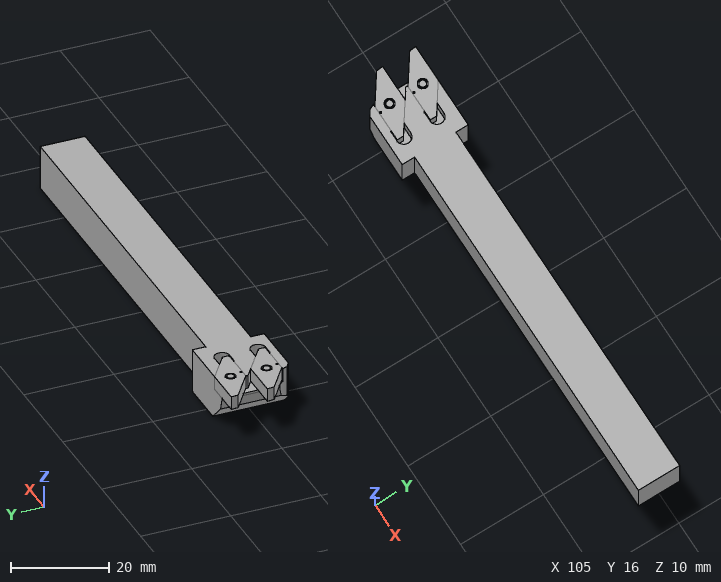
import cadquery as cq
import math

overall_length = 105.0
height = 10.0
head_length = 20.0
head_width = 16.0
shank_width = 10.0
shank_start_y = (head_width - shank_width) / 2

blade_thickness = 3.0
blade_width = 6.0
blade_pitch = 8.0
blade_angle = 35.0
tip_angle = 5.0
blade_slope = math.tan(math.radians(blade_angle))
blade_tip_width = 1.6
blade_back_x = 14.95
blade_back_width = 1.5
tip_setback = blade_tip_width * math.tan(math.radians(tip_angle))
blade_edge_ys = [head_width, head_width - blade_pitch]
blade_corner_x = tip_setback + (blade_width - blade_tip_width) / blade_slope
blade_shoulder_x = blade_back_x - (blade_width - blade_back_width) / blade_slope
seat_z = height - blade_thickness

nose_x = 4.8
nose_land = 0.5
nose_relief_x = 5.5
chamfer = 4.0
nose_bottom_x = nose_relief_x + chamfer

web_front_x = 6.3
corner_length = 1.35
corner_width = corner_length * blade_slope

slot_radius = 1.65
slot_end_x = 15.1
slot_start_x = 12.7
slot_offset = 4.5

screw_x = 7.5
screw_offset = 3.1
ring_outer_radius = 1.1
ring_inner_radius = 0.8
ring_depth = 0.5
dimple_x = 8.15
dimple_offset = 5.65
dimple_radius = 0.2
dimple_depth = 0.3


def make_shank():
    return cq.Workplane("XY").box(
        overall_length - head_length, shank_width, height, centered=False
    ).translate((head_length, shank_start_y, 0))


def make_head():
    """Head block with its sloped nose, hollowed under the lower blade's slanted side."""
    side = (
        cq.Workplane("XZ")
        .moveTo(nose_bottom_x, 0)
        .lineTo(nose_relief_x, chamfer)
        .lineTo(nose_x, seat_z - nose_land)
        .lineTo(nose_x, height)
        .lineTo(head_length, height)
        .lineTo(head_length, 0)
        .close()
        .extrude(-head_width)
    )
    lower_edge_y = blade_edge_ys[-1]
    flank_y = lower_edge_y - blade_width
    plan = (
        cq.Workplane("XY")
        .moveTo(0, head_width)
        .lineTo(0, lower_edge_y - blade_tip_width)
        .lineTo(nose_x, flank_y + (blade_corner_x - nose_x) * blade_slope)
        .tangentArcPoint((web_front_x, corner_width), relative=False)
        .lineTo(web_front_x + corner_length, 0)
        .lineTo(head_length, 0)
        .lineTo(head_length, head_width)
        .close()
        .extrude(height)
    )
    return side.intersect(plan)


def make_seat(edge_y):
    """Open pocket for one blade, reaching past the blade on the nose side."""
    flank_y = edge_y - blade_width
    open_y = edge_y + blade_shoulder_x * blade_slope
    return (
        cq.Workplane("XY", origin=(0, 0, seat_z))
        .moveTo(0, flank_y)
        .lineTo(blade_back_x, flank_y)
        .lineTo(blade_back_x, flank_y + blade_back_width)
        .lineTo(0, open_y)
        .close()
        .extrude(blade_thickness)
    )


def make_web_trim():
    """Clearance that blunts the sharp front end of the web between the blades."""
    return cq.Workplane("XY").box(
        web_front_x, blade_pitch, blade_thickness, centered=False
    ).translate((0, blade_edge_ys[-1], seat_z))


def make_slot(edge_y):
    center_y = edge_y - slot_offset
    bar = cq.Workplane("XY").box(
        slot_end_x - slot_start_x, 2 * slot_radius, blade_thickness, centered=False
    ).translate((slot_start_x, center_y - slot_radius, seat_z))
    end = (
        cq.Workplane("XY", origin=(slot_end_x, center_y, seat_z))
        .circle(slot_radius)
        .extrude(blade_thickness)
    )
    return bar.union(end)


def make_blade(edge_y):
    flank_y = edge_y - blade_width
    blade = (
        cq.Workplane("XY", origin=(0, 0, seat_z))
        .moveTo(0, edge_y)
        .lineTo(tip_setback, edge_y - blade_tip_width)
        .lineTo(blade_corner_x, flank_y)
        .lineTo(blade_back_x, flank_y)
        .lineTo(blade_back_x, flank_y + blade_back_width)
        .lineTo(blade_shoulder_x, edge_y)
        .close()
        .extrude(blade_thickness)
    )
    ring = (
        cq.Workplane("XY", origin=(screw_x, edge_y - screw_offset, height - ring_depth))
        .circle(ring_outer_radius)
        .circle(ring_inner_radius)
        .extrude(ring_depth)
    )
    dimple = (
        cq.Workplane("XY", origin=(dimple_x, edge_y - dimple_offset, height - dimple_depth))
        .circle(dimple_radius)
        .extrude(dimple_depth)
    )
    return blade.cut(ring).cut(dimple)


head = make_head().cut(make_web_trim())
for blade_edge_y in blade_edge_ys:
    head = head.cut(make_seat(blade_edge_y)).cut(make_slot(blade_edge_y))

result = make_shank().union(head)
for blade_edge_y in blade_edge_ys:
    result = result.union(make_blade(blade_edge_y), clean=False)